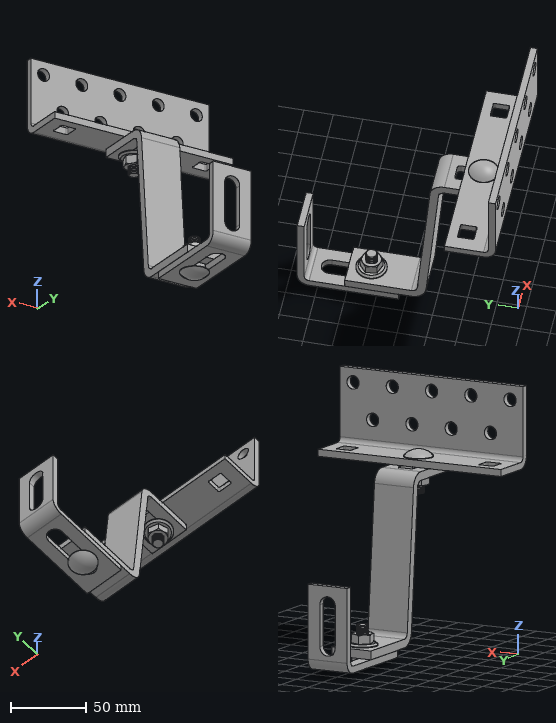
import cadquery as cq
import math


STRAP_WIDTH = 30.0
STRAP_THICKNESS = 6.0
STRAP_RISE = 116.0
STRAP_LEAN = 5.0
STRAP_INNER_RADIUS = 4.0
STRAP_BACK = 15.3
STRAP_FRONT = 39.3
UPPER_BOLT_Y = -76.2
STRAP_END_MARGIN = 11.5

SHEET_THICKNESS = 4.9
SHEET_INNER_RADIUS = 3.3
BRACKET_LENGTH = 69.0
BRACKET_HEIGHT = 59.0
BRACKET_BACK = 47.6
PLATE_WIDTH = 140.0
PLATE_HEIGHT = 56.0
PLATE_DEPTH = 34.9
PLATE_FRONT = 22.4

SLOT_WIDTH = 11.6
FLOOR_SLOT_START = 13.6
FLOOR_SLOT_END = 58.9
UPRIGHT_SLOT_MARGIN = 7.3
UPRIGHT_SLOT_LENGTH = 40.2
STRAP_SLOT_BACK = 18.7
BOLT_SQUARE = 11.0
SQUARE_HOLE_SPACING = 54.5
SQUARE_CORNER_RADIUS = 0.9
STRAP_SLOT_CORNER_RADIUS = 2.0
SCREW_HOLE_DIAMETER = 9.0
SCREW_HOLE_PITCH = 30.0
SCREW_ROW_PITCH = 24.0
SCREW_ROW_MARGIN = 10.0
UPPER_ROW_COUNT = 5

BOLT_DIAMETER = 8.0
BOLT_REACH = 20.0
HEAD_DIAMETER = 20.2
HEAD_HEIGHT = 4.9
HEAD_RIM = 0.4
THREAD_PITCH = 1.3
THREAD_DEPTH = 0.5
THREAD_COUNT = 5
NUT_HEIGHT = 8.0
NUT_ACROSS_FLATS = 13.3
NUT_CHAMFER_ANGLE = 30.0
FLANGE_DIAMETER = 20.9
FLANGE_TOP_DIAMETER = 17.8
FLANGE_RIM = 0.5
FLANGE_HEIGHT = 1.8
LOWER_NUT_TURN = -40.0
UPPER_NUT_TURN = 13.0


def round_bend(body, inner_corner, outer_corner, inner_radius, thickness):
    """Round the two X-parallel edges of a bend whose corners are given as (y, z)."""
    for corner, radius in ((inner_corner, inner_radius), (outer_corner, inner_radius + thickness)):
        edge = body.edges("|X").edges(cq.NearestToPointSelector((0, *corner)))
        body = edge.fillet(radius)
    return body


def extrude_outline(points, width):
    """Extrude a closed (y, z) outline symmetrically about the plane X = 0."""
    return cq.Workplane("YZ").polyline(points).close().extrude(width / 2, both=True)


def rounded_prism(size_x, size_y, z_bottom, z_top, corner_radius):
    """Upright rectangular prism with rounded corners, centred on the Z axis."""
    prism = cq.Workplane("XY", origin=(0, 0, z_bottom)).rect(size_x, size_y).extrude(z_top - z_bottom)
    return prism.edges("|Z").fillet(corner_radius)


def make_strap():
    lean = math.radians(STRAP_LEAN)
    bend_shift = STRAP_THICKNESS * math.tan((math.pi / 2 - lean) / 2)
    leg_shift = STRAP_RISE * math.tan(lean) - STRAP_THICKNESS / math.cos(lean)
    upper_end_y = UPPER_BOLT_Y - STRAP_END_MARGIN
    lower_outer = (-STRAP_FRONT, 0)
    lower_inner = (-STRAP_FRONT + bend_shift, STRAP_THICKNESS)
    upper_outer = (-STRAP_FRONT - leg_shift, STRAP_RISE)
    upper_inner = (-STRAP_FRONT - leg_shift - bend_shift, STRAP_RISE - STRAP_THICKNESS)
    strap = extrude_outline(
        [
            (STRAP_BACK, 0),
            lower_outer,
            upper_inner,
            (upper_end_y, STRAP_RISE - STRAP_THICKNESS),
            (upper_end_y, STRAP_RISE),
            upper_outer,
            lower_inner,
            (STRAP_BACK, STRAP_THICKNESS),
        ],
        STRAP_WIDTH,
    )
    strap = round_bend(strap, lower_inner, lower_outer, STRAP_INNER_RADIUS, STRAP_THICKNESS)
    strap = round_bend(strap, upper_inner, upper_outer, STRAP_INNER_RADIUS, STRAP_THICKNESS)

    bolt_hole = cq.Workplane("XY").circle(BOLT_DIAMETER / 2).extrude(STRAP_THICKNESS)
    slot_front = UPPER_BOLT_Y - SLOT_WIDTH / 2
    slot_back = UPPER_BOLT_Y + STRAP_SLOT_BACK
    slot = rounded_prism(
        SLOT_WIDTH,
        slot_back - slot_front,
        STRAP_RISE - STRAP_THICKNESS,
        STRAP_RISE,
        STRAP_SLOT_CORNER_RADIUS,
    ).translate((0, (slot_front + slot_back) / 2, 0))
    return strap.cut(bolt_hole).cut(slot)


def make_angle(width, floor_length, height):
    """Bent sheet: floor along +Y, upright along +Z, outer corner of the bend at Y = Z = 0."""
    inner_corner = (SHEET_THICKNESS, SHEET_THICKNESS)
    angle = extrude_outline(
        [
            (0, 0),
            (floor_length, 0),
            (floor_length, SHEET_THICKNESS),
            inner_corner,
            (SHEET_THICKNESS, height),
            (0, height),
        ],
        width,
    )
    return round_bend(angle, inner_corner, (0, 0), SHEET_INNER_RADIUS, SHEET_THICKNESS)


def make_wall_bracket():
    angle = make_angle(STRAP_WIDTH, BRACKET_LENGTH, BRACKET_HEIGHT)
    floor_slot = (
        cq.Workplane("XY")
        .center(0, (FLOOR_SLOT_START + FLOOR_SLOT_END) / 2)
        .slot2D(FLOOR_SLOT_END - FLOOR_SLOT_START, SLOT_WIDTH, 90)
        .extrude(SHEET_THICKNESS)
    )
    upright_slot = (
        cq.Workplane("XZ")
        .center(0, BRACKET_HEIGHT - UPRIGHT_SLOT_MARGIN - UPRIGHT_SLOT_LENGTH / 2)
        .slot2D(UPRIGHT_SLOT_LENGTH, SLOT_WIDTH, 90)
        .extrude(-SHEET_THICKNESS)
    )
    bracket = angle.cut(floor_slot).cut(upright_slot)
    return bracket.rotate((0, 0, 0), (0, 0, 1), 180).translate((0, BRACKET_BACK, -SHEET_THICKNESS))


def make_mounting_plate():
    plate = make_angle(PLATE_WIDTH, PLATE_DEPTH, PLATE_HEIGHT)

    upper_row_z = PLATE_HEIGHT - SCREW_ROW_MARGIN
    for count, z in ((UPPER_ROW_COUNT, upper_row_z), (UPPER_ROW_COUNT - 1, upper_row_z - SCREW_ROW_PITCH)):
        screw_holes = (
            cq.Workplane("XZ")
            .center(0, z)
            .rarray(SCREW_HOLE_PITCH, 1.8, count, 1)
            .circle(SCREW_HOLE_DIAMETER / 2)
            .extrude(-SHEET_THICKNESS)
        )
        plate = plate.cut(screw_holes)

    square_hole = rounded_prism(BOLT_SQUARE, BOLT_SQUARE, 0, SHEET_THICKNESS, SQUARE_CORNER_RADIUS)
    for x in (-SQUARE_HOLE_SPACING, 0, SQUARE_HOLE_SPACING):
        plate = plate.cut(square_hole.translate((x, PLATE_FRONT, 0)))
    return plate.translate((0, UPPER_BOLT_Y - PLATE_FRONT, STRAP_RISE))


def make_bolt():
    """Carriage bolt pointing down, with Z = 0 where the sheet rests on the strap."""
    head_radius = HEAD_DIAMETER / 2
    head_top = SHEET_THICKNESS + HEAD_HEIGHT
    dome_height = HEAD_HEIGHT - HEAD_RIM
    dome_radius = (head_radius**2 + dome_height**2) / (2 * dome_height)
    dome_middle_angle = math.asin(head_radius / dome_radius) / 2
    dome_middle = (
        dome_radius * math.sin(dome_middle_angle),
        head_top - dome_radius * (1 - math.cos(dome_middle_angle)),
    )
    head = (
        cq.Workplane("XZ")
        .moveTo(0, SHEET_THICKNESS)
        .lineTo(head_radius, SHEET_THICKNESS)
        .lineTo(head_radius, SHEET_THICKNESS + HEAD_RIM)
        .threePointArc(dome_middle, (0, head_top))
        .close()
        .revolve(360, (0, 0), (0, 1))
    )
    neck = rounded_prism(BOLT_SQUARE, BOLT_SQUARE, 0, SHEET_THICKNESS, SQUARE_CORNER_RADIUS)

    crest = BOLT_DIAMETER / 2
    root = crest - THREAD_DEPTH
    profile = cq.Workplane("XZ").lineTo(0, -BOLT_REACH).lineTo(root, -BOLT_REACH)
    for ring in range(THREAD_COUNT):
        ring_bottom = -BOLT_REACH + ring * THREAD_PITCH
        profile = profile.lineTo(crest, ring_bottom + THREAD_PITCH / 2)
        profile = profile.lineTo(root, ring_bottom + THREAD_PITCH)
    thread_top = -BOLT_REACH + THREAD_COUNT * THREAD_PITCH
    shank = (
        profile.lineTo(crest, thread_top + THREAD_PITCH / 2)
        .lineTo(crest, 0)
        .close()
        .revolve(360, (0, 0), (0, 1))
    )
    return head.union(neck).union(shank)


def make_nut(turn):
    """Flange nut hanging below the strap, with one corner of the hexagon at the given angle."""
    seat = -STRAP_THICKNESS
    corner_radius = NUT_ACROSS_FLATS / math.sqrt(3)
    chamfer_width = corner_radius - NUT_ACROSS_FLATS / 2
    chamfer_drop = chamfer_width * math.tan(math.radians(NUT_CHAMFER_ANGLE))
    hexagon = (
        cq.Workplane("XY", origin=(0, 0, seat))
        .polygon(6, 2 * corner_radius)
        .extrude(-NUT_HEIGHT)
        .rotate((0, 0, 0), (0, 0, 1), turn)
    )
    chamfer_limit = (
        cq.Workplane("XY", origin=(0, 0, seat))
        .circle(corner_radius)
        .extrude(-NUT_HEIGHT)
        .faces("<Z")
        .chamfer(chamfer_drop, chamfer_width)
    )
    flange = (
        cq.Workplane("XZ")
        .moveTo(0, seat)
        .lineTo(FLANGE_DIAMETER / 2, seat)
        .lineTo(FLANGE_DIAMETER / 2, seat - FLANGE_RIM)
        .lineTo(FLANGE_TOP_DIAMETER / 2, seat - FLANGE_HEIGHT)
        .lineTo(0, seat - FLANGE_HEIGHT)
        .close()
        .revolve(360, (0, 0), (0, 1))
    )
    bore = cq.Workplane("XY", origin=(0, 0, seat)).circle(BOLT_DIAMETER / 2).extrude(-NUT_HEIGHT)
    return hexagon.intersect(chamfer_limit).union(flange).cut(bore)


def place_at_lower_joint(body):
    return body.rotate((0, 0, 0), (1, 0, 0), 180)


def place_at_upper_joint(body):
    return body.translate((0, UPPER_BOLT_Y, STRAP_RISE))


strap = make_strap()
wall_bracket = make_wall_bracket()
mounting_plate = make_mounting_plate()
bolts = []
nuts = []
for place, nut_turn in ((place_at_lower_joint, LOWER_NUT_TURN), (place_at_upper_joint, UPPER_NUT_TURN)):
    bolts.append(place(make_bolt()).val())
    nuts.append(place(make_nut(nut_turn)).val())

result = cq.Compound.makeCompound(
    [strap.val(), wall_bracket.val(), mounting_plate.val(), *bolts, *nuts]
)